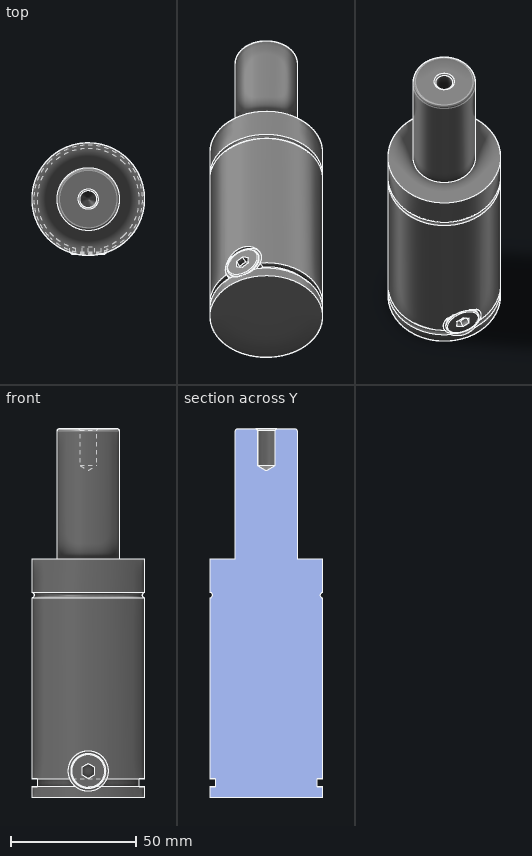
import cadquery as cq
import math

total_height = 147.0
body_diameter = 45.0
body_top = 95.1
rod_diameter = 25.0
rod_fillet = 1.0

base_groove_bottom = 4.4
base_groove_top = 7.5
base_groove_depth = 2.2

head_groove_bottom = 79.5
head_groove_top = 81.7
head_groove_depth = 0.9

hole_diameter = 6.8
hole_mouth_diameter = 8.1
hole_depth = 14.7
drill_point_angle = 118.0

plug_height = 10.6
pocket_diameter = 16.0
pocket_floor_radius = 21.2
plug_diameter = 14.0
plug_face_radius = 22.0
plug_root_radius = 14.7
plug_chamfer = 0.5
hex_across_flats = 5.1
hex_depth = 3.0

body_radius = body_diameter / 2
rod_radius = rod_diameter / 2


def make_cylinder_and_rod():
    """Revolve the half section of the body, its grooves and the rod."""
    base_groove_radius = body_radius - base_groove_depth
    head_groove_radius = body_radius - head_groove_depth
    head_groove_middle = (head_groove_bottom + head_groove_top) / 2
    return (
        cq.Workplane("XZ")
        .lineTo(body_radius, 0)
        .lineTo(body_radius, base_groove_bottom)
        .lineTo(base_groove_radius, base_groove_bottom)
        .lineTo(base_groove_radius, base_groove_top)
        .lineTo(body_radius, base_groove_top)
        .lineTo(body_radius, head_groove_bottom)
        .threePointArc((head_groove_radius, head_groove_middle), (body_radius, head_groove_top))
        .lineTo(body_radius, body_top)
        .lineTo(rod_radius, body_top)
        .lineTo(rod_radius, total_height - rod_fillet)
        .radiusArc((rod_radius - rod_fillet, total_height), -rod_fillet)
        .lineTo(0, total_height)
        .close()
        .revolve(360, (0, 0), (0, 1))
    )


def make_rod_hole():
    """Blind drilled hole with a chamfered mouth and a conical bottom."""
    radius = hole_diameter / 2
    mouth_radius = hole_mouth_diameter / 2
    shoulder = total_height - hole_depth
    tip = shoulder - radius / math.tan(math.radians(drill_point_angle / 2))
    profile = [
        (0, tip),
        (radius, shoulder),
        (radius, total_height - (mouth_radius - radius)),
        (mouth_radius, total_height),
        (0, total_height),
    ]
    return cq.Workplane("XZ").polyline(profile).close().revolve(360, (0, 0), (0, 1))


def side_plane(distance):
    """Plane facing -Y at the plug height, at a distance from the body axis."""
    return cq.Workplane("XZ", origin=(0, -distance, plug_height))


def make_pocket():
    return side_plane(pocket_floor_radius).circle(pocket_diameter / 2).extrude(body_radius - pocket_floor_radius)


def make_seat():
    """Round seat that bridges the base groove beneath the pocket floor."""
    return side_plane(plug_root_radius).circle(pocket_diameter / 2).extrude(pocket_floor_radius - plug_root_radius)


def make_plug():
    """Chamfered plug with a hexagon socket, one corner pointing up."""
    plug = side_plane(plug_root_radius).circle(plug_diameter / 2).extrude(plug_face_radius - plug_root_radius)
    plug = plug.faces("<Y").chamfer(plug_chamfer)
    hex_across_corners = hex_across_flats / math.cos(math.pi / 6)
    socket = (
        side_plane(plug_face_radius - hex_depth)
        .transformed(rotate=(0, 0, 90))
        .polygon(6, hex_across_corners)
        .extrude(hex_depth)
    )
    return plug, socket


plug, socket = make_plug()
result = make_cylinder_and_rod().cut(make_rod_hole())
result = result.union(make_seat()).cut(make_pocket())
result = result.union(plug).cut(socket)